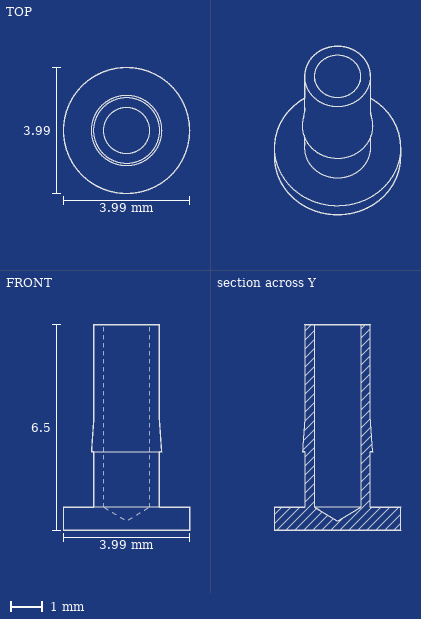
import cadquery as cq
import math

total_height = 6.5
flange_diameter = 3.99
flange_thickness = 0.735
tube_diameter = 2.08

barb_bottom = 2.48
barb_top = 3.5
barb_diameter = 2.22

bore_diameter = 1.455
bore_floor = flange_thickness
drill_point_angle = 118.0

flange_radius = flange_diameter / 2
tube_radius = tube_diameter / 2
barb_radius = barb_diameter / 2
bore_radius = bore_diameter / 2
drill_point_depth = bore_radius / math.tan(math.radians(drill_point_angle / 2))


def revolve_about_z(points):
    """Revolve a closed (radius, height) outline about the Z axis."""
    return cq.Workplane("XZ").polyline(points).close().revolve(360, (0, 0), (0, 1))


body = revolve_about_z([
    (0, 0),
    (flange_radius, 0),
    (flange_radius, flange_thickness),
    (tube_radius, flange_thickness),
    (tube_radius, barb_bottom),
    (barb_radius, barb_bottom),
    (tube_radius, barb_top),
    (tube_radius, total_height),
    (0, total_height),
])

bore = revolve_about_z([
    (0, bore_floor - drill_point_depth),
    (bore_radius, bore_floor),
    (bore_radius, total_height),
    (0, total_height),
])

result = body.cut(bore)